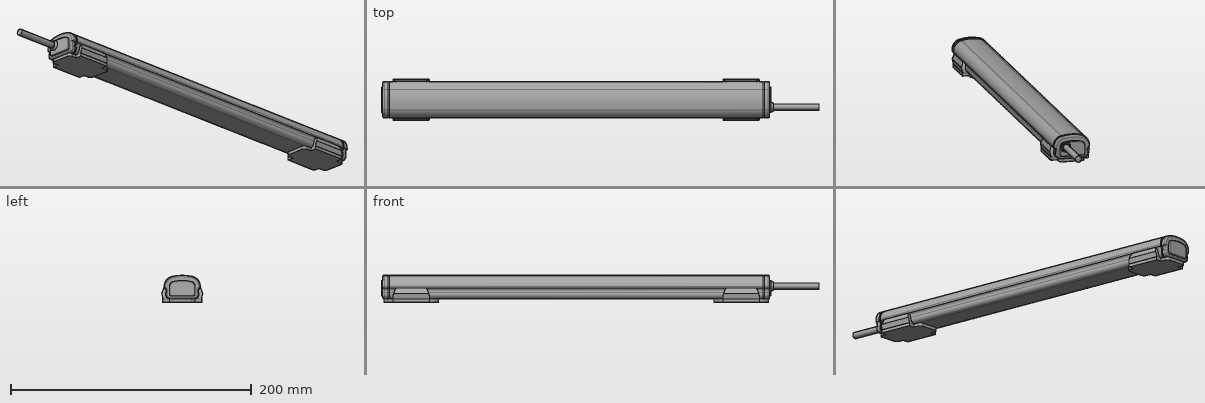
import cadquery as cq
import math

total_length = 363.5
lamp_length = 323.5

lamp_top = 22.5
lamp_bottom = 2.73
half_width = 30.0 / 2
crown_radius = 36.5
corner_radius = 8.7
lip_height = 11.5
groove_height = 9.0
groove_radius = 2.73
bulge_height = 6.5
bulge_radius = bulge_height - lamp_bottom

pad_thickness = 1.0
pad_inset = 4.5
pad_bottom = 5.0
pad_corner_radius = 1.8
pad_edge_radius = 0.7
cap_edge_radius = 1.27
seam_position = 5.5
seam_width = 1.0
seam_depth = 0.5

cable_radius = 2.73
cable_y = -6.0
cable_z = 13.5
gland_length = 2.0
gland_base_radius = 4.5
gland_tip_radius = 3.3

bracket_offset = 24.7
tongue_length = 45.5
tongue_width = 21.5
tongue_corner_radius = 3.0
base_width = 32.7
arm_length = 30.5
arm_tip_length = 25.5
arm_width = 34.0
arm_foot_width = 32.0
arm_tip_width = 31.0
arm_ridge_height = 7.3


def point_on_circle(center, radius, angle):
    """Point at an angle, in radians, on a circle in a 2D sketch."""
    return (center[0] + radius * math.cos(angle), center[1] + radius * math.sin(angle))


def mirrored(point):
    """The same sketch point on the other side of the vertical centre line."""
    return (-point[0], point[1])


crown_center = (0, lamp_top - crown_radius)
corner_y = half_width - corner_radius
corner_z = crown_center[1] + math.sqrt((crown_radius - corner_radius) ** 2 - corner_y ** 2)
corner_center = (corner_y, corner_z)
corner_angle = math.atan2(corner_z - crown_center[1], corner_y)

groove_start_angle = math.asin((lip_height - groove_height) / groove_radius)
groove_center = (half_width + groove_radius * math.cos(groove_start_angle), groove_height)
flank_angle = math.asin((groove_height - bulge_height) / (groove_radius + bulge_radius))
bulge_y = groove_center[0] - (groove_radius + bulge_radius) * math.cos(flank_angle)
bulge_center = (bulge_y, bulge_height)


def add_dome(outline, inset):
    """Continue an outline from the +Y wall over the dome to the -Y wall, moved inward by inset."""
    radius = corner_radius - inset
    wall = point_on_circle(corner_center, radius, 0)
    corner_middle = point_on_circle(corner_center, radius, corner_angle / 2)
    crown_end = point_on_circle(corner_center, radius, corner_angle)
    return (
        outline.lineTo(*wall)
        .threePointArc(corner_middle, crown_end)
        .threePointArc((0, lamp_top - inset), mirrored(crown_end))
        .threePointArc(mirrored(corner_middle), mirrored(wall))
    )


def lamp_section(x):
    """Outline of the lamp: dome above, side grooves and rounded bulges below."""
    bulge_bottom = (bulge_y, lamp_bottom)
    bulge_middle = point_on_circle(bulge_center, bulge_radius, (flank_angle - math.pi / 2) / 2)
    flank = point_on_circle(bulge_center, bulge_radius, flank_angle)
    waist = point_on_circle(groove_center, groove_radius, math.pi)
    lip = (half_width, lip_height)
    outline = (
        cq.Workplane("YZ", origin=(x, 0, 0))
        .moveTo(*bulge_bottom)
        .threePointArc(bulge_middle, flank)
        .threePointArc(waist, lip)
    )
    return (
        add_dome(outline, 0)
        .lineTo(*mirrored(lip))
        .threePointArc(mirrored(waist), mirrored(flank))
        .threePointArc(mirrored(bulge_middle), mirrored(bulge_bottom))
        .close()
    )


def pad_section(x):
    """Outline of the raised pads on the end caps."""
    pad_half_width = half_width - pad_inset
    outline = cq.Workplane("YZ", origin=(x, 0, 0)).moveTo(pad_half_width, pad_bottom)
    return add_dome(outline, pad_inset).lineTo(-pad_half_width, pad_bottom).close()


def make_seam(x):
    """Shallow ring to cut around the lamp, with its lower X face at x."""
    outside = lamp_section(x).offset2D(seam_depth).extrude(seam_width)
    core = lamp_section(x).offset2D(-seam_depth).extrude(seam_width)
    return outside.cut(core)


def make_lamp():
    """Tube, end caps and cable as one solid."""
    capped_length = lamp_length - 2 * pad_thickness
    lamp = lamp_section(pad_thickness).extrude(capped_length)
    lamp = lamp.faces("<X or >X").edges().fillet(cap_edge_radius)
    lamp = lamp.cut(make_seam(seam_position))
    lamp = lamp.cut(make_seam(lamp_length - seam_position - seam_width))

    pads = pad_section(0).extrude(lamp_length)
    pads = pads.faces("<Z").edges("|X").fillet(pad_corner_radius)
    pads = pads.faces("<X or >X").edges().fillet(pad_edge_radius)
    gland = (
        cq.Workplane("YZ", origin=(lamp_length, cable_y, cable_z))
        .circle(gland_base_radius)
        .workplane(offset=gland_length)
        .circle(gland_tip_radius)
        .loft()
    )
    cable = (
        cq.Workplane("YZ", origin=(lamp_length, cable_y, cable_z))
        .circle(cable_radius)
        .extrude(total_length - lamp_length)
    )
    return lamp.union(pads).union(gland).union(cable)


def arm_side_shape(x):
    """Block with the arms' X-Z outline: upright at the foot, both ends curving inward to the tip."""
    height = lip_height - lamp_bottom
    lean = (arm_length - arm_tip_length) / 2
    end_radius = (height ** 2 + lean ** 2) / (2 * lean)
    foot = (arm_length / 2, lamp_bottom)
    tip = (arm_tip_length / 2, lip_height)
    end_center = (arm_length / 2 - end_radius, lamp_bottom)
    end_middle = point_on_circle(end_center, end_radius, math.asin(height / end_radius) / 2)
    return (
        cq.Workplane("XZ", origin=(x, 0, 0))
        .moveTo(*foot)
        .threePointArc(end_middle, tip)
        .lineTo(*mirrored(tip))
        .threePointArc(mirrored(end_middle), mirrored(foot))
        .close()
        .extrude(arm_width / 2, both=True)
    )


def make_bracket(x):
    """Stepped mounting plate with two arms that hook into the lamp's side grooves, centred at x."""
    tongue = (
        cq.Workplane("XY", origin=(x, 0, 0))
        .rect(tongue_length, tongue_width)
        .extrude(lamp_bottom)
        .edges("|Z")
        .fillet(tongue_corner_radius)
    )
    base = cq.Workplane("XY", origin=(x, 0, 0)).rect(arm_length, base_width).extrude(lamp_bottom)
    arm_start = x - arm_length / 2
    plus_y_side = [
        (arm_foot_width / 2, lamp_bottom),
        (arm_width / 2, arm_ridge_height),
        (arm_tip_width / 2, lip_height),
    ]
    minus_y_side = [mirrored(point) for point in reversed(plus_y_side)]
    arms = (
        cq.Workplane("YZ", origin=(arm_start, 0, 0))
        .polyline(plus_y_side + minus_y_side)
        .close()
        .extrude(arm_length)
    )
    hooks = arms.intersect(arm_side_shape(x)).cut(lamp_section(arm_start).extrude(arm_length))
    return base.union(tongue).union(hooks)


lamp = make_lamp()
brackets = [make_bracket(x) for x in (bracket_offset, lamp_length - bracket_offset)]

result = cq.Compound.makeCompound([lamp.val(), *[bracket.val() for bracket in brackets]])